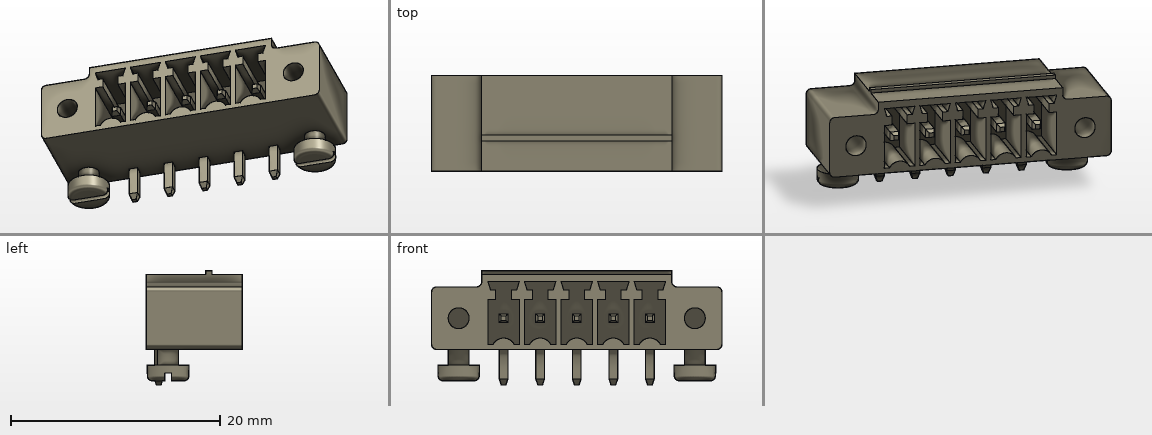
import cadquery as cq


LENGTH = 27.8
DEPTH = 9.2
HEIGHT = 7.2
CENTRE_LENGTH = 18.2
FLANGE_HEIGHT = 6.0
CORNER_RADIUS = 0.5
FRONT_Y = -DEPTH / 2
BACK_Y = DEPTH / 2

RIDGE_WIDTH = 0.6
RIDGE_HEIGHT = 0.35
RIDGE_Y = FRONT_Y + 3.2

POLES = 5
PITCH = 3.5
POLE_XS = [(i - (POLES - 1) / 2) * PITCH for i in range(POLES)]
CHAMBER_WIDTH = 3.0
CHAMBER_DEPTH = 6.0
CHAMBER_FLOOR = 0.5
CHAMBER_SHOULDER = 4.8
NECK_WIDTH = 1.5
NECK_TOP = 5.7
DOVETAIL_BASE_WIDTH = 2.5
CHAMBER_TOP = 6.5
FLOOR_RIB_WIDTH = 2.0
FLOOR_RIB_HEIGHT = 0.6

PIN_SIZE = 0.85
PIN_TIP_SIZE = 0.45
PIN_TAPER = 0.6
AXIS_Z = 3.0
PIN_INSET = 1.4
TAIL_Y = BACK_Y - 1.2
TAIL_BOTTOM = -3.4

SCREW_XS = [-11.3, 11.3]
BUSHING_DIAMETER = 4.0
BUSHING_HOLE_DIAMETER = 2.0
BUSHING_LENGTH = 5.0
SCREW_Y = BACK_Y - 2.1
SHANK_DIAMETER = 2.0
SHANK_LENGTH = 1.5
HEAD_DIAMETER = 4.0
HEAD_HEIGHT = 1.5
HEAD_ROUND = 0.5
SLOT_WIDTH = 0.6
SLOT_DEPTH = 0.75


def block(x_size, y_range, z_range):
    """Box centred on X = 0 between the given Y and Z limits."""
    y_min, y_max = y_range
    z_min, z_max = z_range
    return (
        cq.Workplane("XY")
        .box(x_size, y_max - y_min, z_max - z_min, centered=(True, False, False))
        .translate((0, y_min, z_min))
    )


def front_plane(y):
    """Sketch plane facing the mating side, with local axes along X and Z."""
    return cq.Workplane("XZ", origin=(0, y, 0))


def make_housing():
    flanges = block(LENGTH, (FRONT_Y, BACK_Y), (0, FLANGE_HEIGHT))
    flanges = flanges.edges("|Y").fillet(CORNER_RADIUS)
    inner = CENTRE_LENGTH / 2
    outer = inner + CORNER_RADIUS
    fillet_top = FLANGE_HEIGHT + CORNER_RADIUS
    centre = block(CENTRE_LENGTH, (FRONT_Y, BACK_Y), (0, HEIGHT))
    ridge = block(
        CENTRE_LENGTH,
        (RIDGE_Y - RIDGE_WIDTH / 2, RIDGE_Y + RIDGE_WIDTH / 2),
        (HEIGHT, HEIGHT + RIDGE_HEIGHT),
    )
    inside_corner = (
        front_plane(BACK_Y)
        .moveTo(inner, FLANGE_HEIGHT)
        .lineTo(outer, FLANGE_HEIGHT)
        .radiusArc((inner, fillet_top), CORNER_RADIUS)
        .close()
        .extrude(DEPTH)
    )
    return flanges.union(centre).union(ridge).union(inside_corner).union(inside_corner.mirror("YZ"))


def make_chamber():
    """Space for one plug contact: a square room, a neck and a dovetail above it."""
    side = CHAMBER_WIDTH / 2
    neck = NECK_WIDTH / 2
    dovetail = DOVETAIL_BASE_WIDTH / 2
    rib = FLOOR_RIB_WIDTH / 2
    return (
        front_plane(FRONT_Y + CHAMBER_DEPTH)
        .moveTo(-side, CHAMBER_FLOOR)
        .lineTo(-rib, CHAMBER_FLOOR)
        .threePointArc((0, CHAMBER_FLOOR + FLOOR_RIB_HEIGHT), (rib, CHAMBER_FLOOR))
        .lineTo(side, CHAMBER_FLOOR)
        .lineTo(side, CHAMBER_SHOULDER)
        .lineTo(neck, CHAMBER_SHOULDER)
        .lineTo(neck, NECK_TOP)
        .lineTo(dovetail, NECK_TOP)
        .lineTo(side, CHAMBER_TOP)
        .lineTo(-side, CHAMBER_TOP)
        .lineTo(-dovetail, NECK_TOP)
        .lineTo(-neck, NECK_TOP)
        .lineTo(-neck, CHAMBER_SHOULDER)
        .lineTo(-side, CHAMBER_SHOULDER)
        .close()
        .extrude(CHAMBER_DEPTH)
    )


def make_pin_leg(plane, length):
    """Square leg along the plane normal, tapered to a blunt tip at its far end."""
    straight = length - PIN_TAPER
    shaft = plane.rect(PIN_SIZE, PIN_SIZE).extrude(straight)
    tip = (
        plane.workplane(offset=straight)
        .rect(PIN_SIZE, PIN_SIZE)
        .workplane(offset=PIN_TAPER)
        .rect(PIN_TIP_SIZE, PIN_TIP_SIZE)
        .loft(ruled=True)
    )
    return shaft.union(tip)


def make_pin():
    """Angled contact: one leg toward the mating face and one solder tail downward."""
    contact_length = TAIL_Y - (FRONT_Y + PIN_INSET)
    contact = make_pin_leg(cq.Workplane("XZ", origin=(0, TAIL_Y, AXIS_Z)), contact_length)
    downward = cq.Plane(origin=(0, TAIL_Y, AXIS_Z), xDir=(1, 0, 0), normal=(0, 0, -1))
    tail = make_pin_leg(cq.Workplane(downward), AXIS_Z - TAIL_BOTTOM)
    return contact.union(tail)


def make_bushing_bore():
    """Blind bore in the mating face that seats one bushing."""
    bore = front_plane(FRONT_Y + BUSHING_LENGTH).center(0, AXIS_Z)
    return bore.circle(BUSHING_DIAMETER / 2).extrude(BUSHING_LENGTH)


def make_bushing():
    """Sleeve that fills the bore and ends flush with the mating face."""
    sleeve = front_plane(FRONT_Y + BUSHING_LENGTH).center(0, AXIS_Z)
    sleeve = sleeve.circle(BUSHING_DIAMETER / 2).circle(BUSHING_HOLE_DIAMETER / 2)
    return sleeve.extrude(BUSHING_LENGTH)


def make_screw():
    """Cheese-head screw hanging below a flange, slotted along X."""
    head_bottom = -SHANK_LENGTH - HEAD_HEIGHT
    head = cq.Workplane("XY").circle(HEAD_DIAMETER / 2).extrude(HEAD_HEIGHT)
    head = head.faces("<Z").edges().fillet(HEAD_ROUND).translate((0, 0, head_bottom))
    slot = block(
        HEAD_DIAMETER,
        (-SLOT_WIDTH / 2, SLOT_WIDTH / 2),
        (head_bottom, head_bottom + SLOT_DEPTH),
    )
    shank = cq.Workplane("XY").circle(SHANK_DIAMETER / 2).extrude(-SHANK_LENGTH)
    return shank.union(head).cut(slot).translate((0, SCREW_Y, 0))


result = make_housing()

chamber = make_chamber()
pin = make_pin()
for x in POLE_XS:
    result = result.cut(chamber.translate((x, 0, 0)))
    result = result.union(pin.translate((x, 0, 0)))

bore = make_bushing_bore()
screw = make_screw()
for x in SCREW_XS:
    result = result.cut(bore.translate((x, 0, 0)))
    result = result.union(screw.translate((x, 0, 0)))

bushing = make_bushing()
for x in SCREW_XS:
    result = result.union(bushing.translate((x, 0, 0)), clean=False)